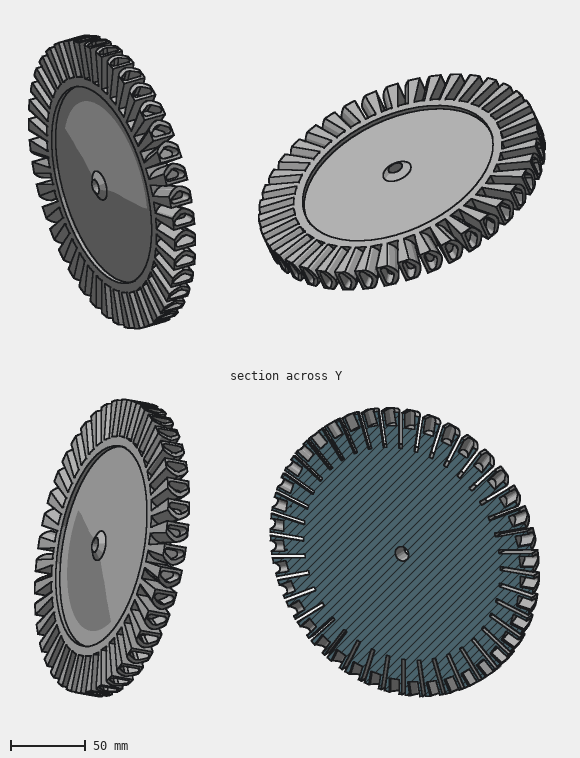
import cadquery as cq
import math

tip_radius = 198.73 / 2
rim_width = 15.875
root_radius = 74.3
rim_inner_radius = 68.0

cone_outer_radius = 57.15
web_edge_width = 9.8

hub_length = 25.4
hub_base_radius = 10.0
hub_base_width = 19.05
bore_radius = 4.9

blade_count = 40
blade_pitch = 360 / blade_count
slot_ridge_gap = 2.37
slot_edge_gap = 7.6
blade_back_radius = 12.7

pocket_wall = 2.3
pocket_half_length = 6.95
pocket_end_radius = 2.3
pocket_taper_angle = math.radians(33)
pocket_nose_half_width = 1.5
pocket_nose_bulge = 0.15
pocket_floor_radius = 89.2

clearance = 1.0


def revolve_body():
    """Revolve the solid wheel, hub and bore about the Y axis."""
    half_outline = [
        (bore_radius, hub_length / 2),
        (hub_base_radius, hub_base_width / 2),
        (cone_outer_radius, web_edge_width / 2),
        (rim_inner_radius, web_edge_width / 2),
        (rim_inner_radius, rim_width / 2),
        (tip_radius, rim_width / 2),
    ]
    mirrored = [(radius, -y) for radius, y in reversed(half_outline)]
    return (
        cq.Workplane("XY")
        .polyline(half_outline + mirrored)
        .close()
        .revolve(360, (0, 0, 0), (0, 1, 0))
    )


def radial_plane(start_radius):
    """Plane facing outward along +X; its local x is +Y and its local y is +Z."""
    return cq.Workplane("YZ", origin=(start_radius, 0, 0))


def make_slot():
    """Slot below the z = 0 plane: flat on one side, the next blade's ridged back on the other."""
    half_width = rim_width / 2
    return (
        radial_plane(root_radius)
        .moveTo(-half_width, 0)
        .lineTo(half_width, 0)
        .lineTo(half_width, -slot_edge_gap)
        .radiusArc((0, -slot_ridge_gap), -blade_back_radius)
        .radiusArc((-half_width, -slot_edge_gap), -blade_back_radius)
        .close()
        .extrude(tip_radius - root_radius + clearance)
    )


def make_pocket():
    """Blind pocket above the z = 0 plane, sunk into the tip of one blade."""
    end_centre_y = pocket_half_length - pocket_end_radius
    end_centre_z = pocket_wall + pocket_end_radius
    taper_y = end_centre_y + pocket_end_radius * math.sin(pocket_taper_angle)
    taper_z = end_centre_z + pocket_end_radius * math.cos(pocket_taper_angle)
    nose_z = taper_z + (taper_y - pocket_nose_half_width) * math.tan(pocket_taper_angle)
    return (
        radial_plane(pocket_floor_radius)
        .moveTo(-end_centre_y, pocket_wall)
        .lineTo(end_centre_y, pocket_wall)
        .threePointArc((pocket_half_length, end_centre_z), (taper_y, taper_z))
        .lineTo(pocket_nose_half_width, nose_z)
        .threePointArc((0, nose_z + pocket_nose_bulge), (-pocket_nose_half_width, nose_z))
        .lineTo(-taper_y, taper_z)
        .threePointArc((-pocket_half_length, end_centre_z), (-end_centre_y, pocket_wall))
        .close()
        .extrude(tip_radius - pocket_floor_radius + clearance)
    )


def around_wheel(tool):
    """Copies of one tool, turned about the Y axis to every blade position."""
    copies = []
    for index in range(blade_count):
        copies.append(tool.rotate((0, 0, 0), (0, 1, 0), index * blade_pitch).val())
    return cq.Workplane(cq.Compound.makeCompound(copies))


result = revolve_body()
result = result.cut(around_wheel(make_slot()))
result = result.cut(around_wheel(make_pocket()))